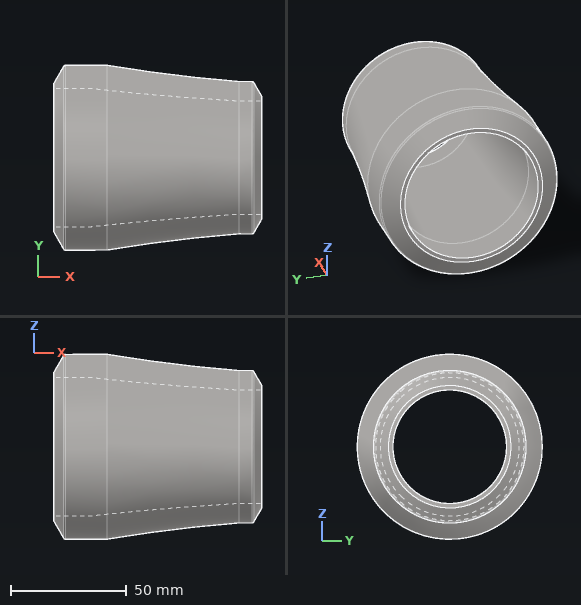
import cadquery as cq
import math

length = 90.0
large_outer_radius = 80.0 / 2
large_bore_radius = 60.0 / 2
small_outer_radius = 66.0 / 2
small_bore_radius = 49.0 / 2

outer_taper_start = 23.0
inner_taper_start = 14.85
taper_end = 80.0
outer_taper_sag = 0.6
inner_taper_sag = 0.45

land_width = 2.0
bevel_angle = 30.0
edge_radius = 1.0

large_land_radius = large_bore_radius + land_width
small_land_radius = small_bore_radius + land_width


def bevel_depth(outer_radius, land_radius):
    """Axial depth of a bevel from the land to the outer cylinder."""
    return (outer_radius - land_radius) * math.tan(math.radians(bevel_angle))


def taper_middle(taper_start, large_radius, small_radius, sag):
    """Middle point of a taper arc that bows toward the axis."""
    return (taper_start + taper_end) / 2, (large_radius + small_radius) / 2 - sag


large_bevel_depth = bevel_depth(large_outer_radius, large_land_radius)
small_bevel_start = length - bevel_depth(small_outer_radius, small_land_radius)
outer_middle = taper_middle(outer_taper_start, large_outer_radius, small_outer_radius, outer_taper_sag)
inner_middle = taper_middle(inner_taper_start, large_bore_radius, small_bore_radius, inner_taper_sag)

sleeve = (
    cq.Workplane("XY")
    .moveTo(0, large_bore_radius)
    .lineTo(0, large_land_radius)
    .lineTo(large_bevel_depth, large_outer_radius)
    .lineTo(outer_taper_start, large_outer_radius)
    .threePointArc(outer_middle, (taper_end, small_outer_radius))
    .lineTo(small_bevel_start, small_outer_radius)
    .lineTo(length, small_land_radius)
    .lineTo(length, small_bore_radius)
    .lineTo(taper_end, small_bore_radius)
    .threePointArc(inner_middle, (inner_taper_start, large_bore_radius))
    .close()
    .revolve(360, (0, 0, 0), (1, 0, 0))
)


def round_bevel_edges(body):
    """Round the outer edge of each bevel."""
    margin = edge_radius
    bevel_edges = (
        (large_bevel_depth, large_outer_radius),
        (small_bevel_start, small_outer_radius),
    )
    for x, radius in bevel_edges:
        reach = radius + margin
        window = cq.selectors.BoxSelector((x - margin, -reach, -reach), (x + margin, reach, reach))
        body = body.edges("%CIRCLE").edges(window).fillet(edge_radius)
    return body


result = round_bevel_edges(sleeve)